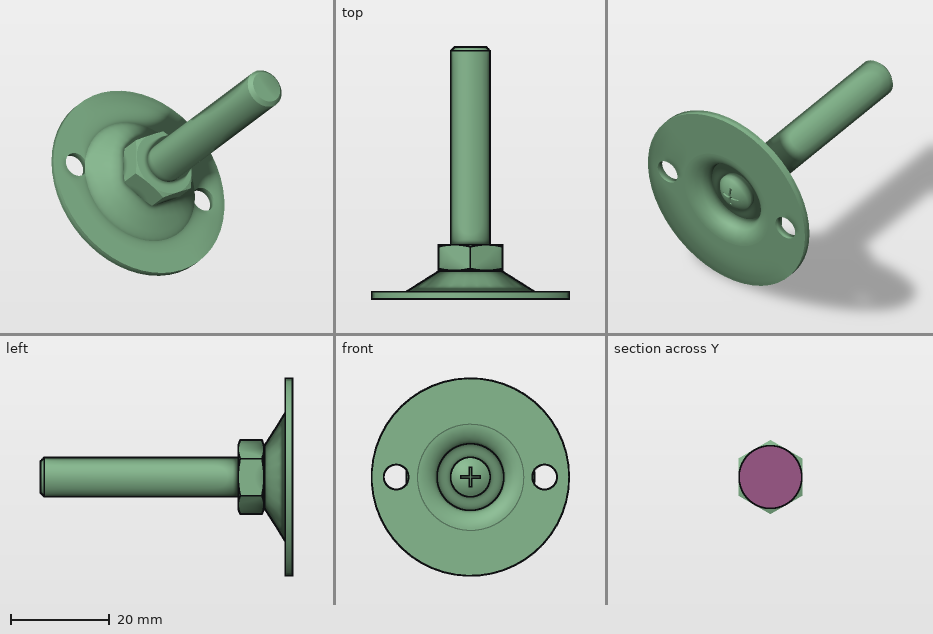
import cadquery as cq
import math


flange_diameter = 40.0
flange_thickness = 1.5
cone_foot_diameter = 26.0
cone_top_diameter = 13.0
cone_top_y = 5.6

dish_floor_diameter = 13.5
dish_depth = 4.0
dish_rim_diameter = dish_floor_diameter + 2 * dish_depth

mount_hole_diameter = 5.0
mount_hole_spacing = 30.0

nut_across_flats = 13.0
nut_top_y = 11.0
nut_bottom_y = 5.8
nut_chamfer_angle = 22.0
hexagon_half_sector = 30.0
nut_collar_diameter = 12.8

stud_diameter = 8.0
stud_end_y = 51.0
stud_chamfer = 0.8

head_diameter = 8.0
head_apex_y = 1.0
head_dome_height = 2.0
cross_length = 4.0
cross_width = 0.5
cross_depth = 1.0


def cylinder_y(diameter, start_y, end_y):
    """Cylinder on the Y axis between two Y levels."""
    return (
        cq.Workplane("XZ", origin=(0, start_y, 0))
        .circle(diameter / 2)
        .extrude(start_y - end_y)
    )


def revolve_y(profile):
    """Full turn of a profile (X = radius, Y = height) about the Y axis."""
    return profile.close().revolve(360, (0, 0, 0), (0, 1, 0))


def make_flange():
    """Round plate with the mounting holes drilled through it."""
    half_spacing = mount_hole_spacing / 2
    hole = cylinder_y(mount_hole_diameter, 0, flange_thickness)
    flange = cylinder_y(flange_diameter, 0, flange_thickness)
    for hole_x in (-half_spacing, half_spacing):
        flange = flange.cut(hole.translate((hole_x, 0, 0)))
    return flange


def make_cone():
    """Cone standing on the flange; its foot slightly overlaps the mounting holes."""
    profile = (
        cq.Workplane("XY")
        .moveTo(0, flange_thickness)
        .lineTo(cone_foot_diameter / 2, flange_thickness)
        .lineTo(cone_top_diameter / 2, cone_top_y)
        .lineTo(0, cone_top_y)
    )
    return revolve_y(profile)


def make_dish():
    """Dish cutter: flat floor and a quarter-round wall rolling off the flange face."""
    floor_radius = dish_floor_diameter / 2
    rim_radius = dish_rim_diameter / 2
    arc_inset = dish_depth * math.sqrt(0.5)
    arc_middle = (rim_radius - arc_inset, dish_depth - arc_inset)
    profile = (
        cq.Workplane("XY")
        .moveTo(0, dish_depth)
        .lineTo(floor_radius, dish_depth)
        .threePointArc(arc_middle, (rim_radius, 0))
        .lineTo(0, 0)
    )
    return revolve_y(profile)


def make_nut():
    """Hexagon with two flats facing +/-X, its corners chamfered at both ends."""
    corner_diameter = nut_across_flats / math.cos(math.radians(hexagon_half_sector))
    hexagon = (
        cq.Workplane("XZ", origin=(0, nut_bottom_y, 0))
        .polygon(6, corner_diameter)
        .extrude(nut_bottom_y - nut_top_y)
        .rotate((0, 0, 0), (0, 1, 0), hexagon_half_sector)
    )
    flat_radius = nut_across_flats / 2
    corner_radius = corner_diameter / 2
    chamfer_height = (corner_radius - flat_radius) * math.tan(math.radians(nut_chamfer_angle))
    envelope = (
        cq.Workplane("XY")
        .moveTo(0, nut_bottom_y)
        .lineTo(flat_radius, nut_bottom_y)
        .lineTo(corner_radius, nut_bottom_y + chamfer_height)
        .lineTo(corner_radius, nut_top_y - chamfer_height)
        .lineTo(flat_radius, nut_top_y)
        .lineTo(0, nut_top_y)
    )
    collar = cylinder_y(nut_collar_diameter, cone_top_y, nut_bottom_y)
    return hexagon.intersect(revolve_y(envelope)).union(collar)


def make_stud():
    """Plain round stud with a chamfered free end."""
    return cylinder_y(stud_diameter, cone_top_y, stud_end_y).faces(">Y").chamfer(stud_chamfer)


def make_screw_head():
    """Domed head on the dish floor with a cross recess."""
    head_radius = head_diameter / 2
    dome_edge_y = head_apex_y + head_dome_height
    dome_radius = (head_radius**2 + head_dome_height**2) / (2 * head_dome_height)
    half_angle = math.asin(head_radius / dome_radius) / 2
    dome_middle = (
        dome_radius * math.sin(half_angle),
        head_apex_y + dome_radius * (1 - math.cos(half_angle)),
    )
    profile = (
        cq.Workplane("XY")
        .moveTo(0, head_apex_y)
        .threePointArc(dome_middle, (head_radius, dome_edge_y))
        .lineTo(head_radius, dish_depth)
        .lineTo(0, dish_depth)
    )
    slot = cq.Workplane("XY").box(cross_length, cross_depth, cross_width)
    slot = slot.translate((0, head_apex_y + cross_depth / 2, 0))
    cross = slot.union(slot.rotate((0, 0, 0), (0, 1, 0), 90))
    return revolve_y(profile).cut(cross)


result = (
    make_flange()
    .union(make_cone())
    .cut(make_dish())
    .union(make_nut())
    .union(make_stud())
    .union(make_screw_head())
)